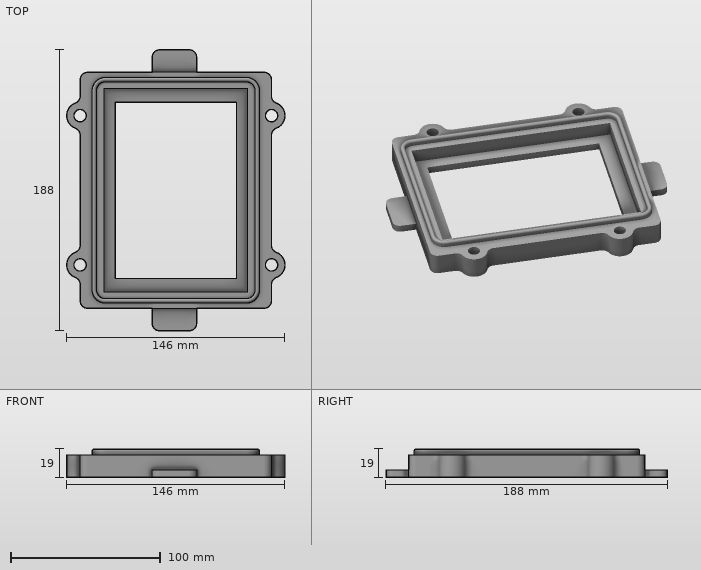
import cadquery as cq

body_width = 128.0
body_length = 158.0
body_height = 15.0
corner_radius = 5.0

lug_radius = 9.0
lug_spacing = 99.8
lug_blend_radius = 5.0
screw_hole_diameter = 8.0

overall_length = 188.0
tab_width = 29.9
tab_offset_x = -1.0
tab_thickness = 5.0
tab_corner_radius = 5.0

ridge_width_x = 112.0
ridge_length_y = 151.0
ridge_height = 4.0
ridge_thickness = 3.0
ridge_corner_radius = 9.0
ridge_edge_round = 1.49

pocket_width = 96.0
pocket_length = 136.0
window_width = 80.8
window_length = 117.7
ledge_height = 5.0

lug_centers = [
    (side * body_width / 2, end * lug_spacing / 2)
    for side in (-1, 1)
    for end in (-1, 1)
]


def block(width, length, height, base_z=0.0):
    """Centred rectangular block resting on the height base_z."""
    return cq.Workplane("XY").workplane(offset=base_z).rect(width, length).extrude(height)


def rounded_block(width, length, height, radius, base_z=0.0):
    """Centred block with rounded vertical edges."""
    return block(width, length, height, base_z).edges("|Z").fillet(radius)


def make_plate():
    """Rounded plate with four lugs blended into its long sides."""
    plate = rounded_block(body_width, body_length, body_height, corner_radius)
    lugs = cq.Workplane("XY").pushPoints(lug_centers).circle(lug_radius).extrude(body_height)
    plate = plate.union(lugs)
    for x, y in lug_centers:
        for junction_y in (y - lug_radius, y + lug_radius):
            junction = cq.selectors.NearestToPointSelector((x, junction_y, body_height / 2))
            plate = plate.edges("|Z").edges(junction).fillet(lug_blend_radius)
    return plate


def make_ridge():
    """Closed ridge whose two crest edges are rounded, leaving a narrow flat between them."""
    inner_width = ridge_width_x - 2 * ridge_thickness
    inner_length = ridge_length_y - 2 * ridge_thickness
    inner_radius = ridge_corner_radius - ridge_thickness
    outer = rounded_block(ridge_width_x, ridge_length_y, ridge_height, ridge_corner_radius, body_height)
    inner = rounded_block(inner_width, inner_length, ridge_height, inner_radius, body_height)
    return outer.cut(inner).faces(">Z").edges().fillet(ridge_edge_round)


tab_strip = rounded_block(tab_width, overall_length, tab_thickness, tab_corner_radius)
tab_strip = tab_strip.translate((tab_offset_x, 0, 0))
pocket = block(pocket_width, pocket_length, body_height - ledge_height, ledge_height)
window = block(window_width, window_length, body_height)
screw_holes = (
    cq.Workplane("XY").pushPoints(lug_centers).circle(screw_hole_diameter / 2).extrude(body_height)
)

result = make_plate().union(tab_strip).union(make_ridge()).cut(pocket).cut(window).cut(screw_holes)